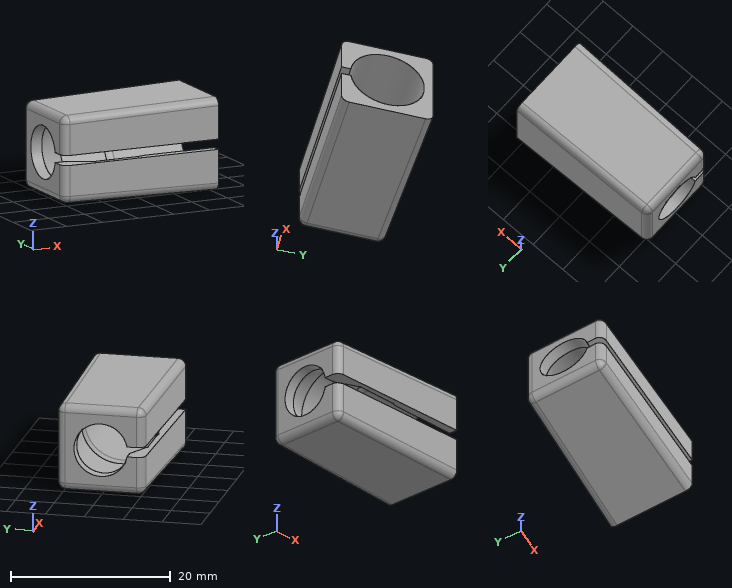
import cadquery as cq

length = 21.6
back_side = 11.95
front_side = 11.18
edge_radius = 1.0

front_radius = 3.43
chamber_radius = 5.0
back_radius = 4.8
cone_start = 1.53
cone_end = 4.8
step_start = 10.9
step_end = 11.87
step_height = chamber_radius - back_radius
step_arc_radius = ((step_end - step_start) ** 2 + step_height**2) / (2 * step_height)

slot_width = 1.3


def make_body():
    """Tapered square block with rounded long edges and a rounded front face."""
    body = (
        cq.Workplane("YZ")
        .rect(front_side, front_side)
        .workplane(offset=length)
        .rect(back_side, back_side)
        .loft(ruled=True)
    )
    return body.faces("not >X").edges("not >X").fillet(edge_radius)


def make_bore():
    """Through bore, revolved about X from its half profile."""
    return (
        cq.Workplane("XZ")
        .lineTo(0, front_radius)
        .lineTo(cone_start, front_radius)
        .lineTo(cone_end, chamber_radius)
        .lineTo(step_start, chamber_radius)
        .radiusArc((step_end, back_radius), -step_arc_radius)
        .lineTo(length, back_radius)
        .lineTo(length, 0)
        .close()
        .revolve(360, (0, 0, 0), (1, 0, 0))
    )


def make_slot():
    """Slit along the whole length, from the bore out through the -Y side."""
    slot = cq.Workplane("XY").box(length, back_side, slot_width, centered=(False, False, True))
    return slot.translate((0, -back_side, 0))


result = make_body().cut(make_bore()).cut(make_slot())